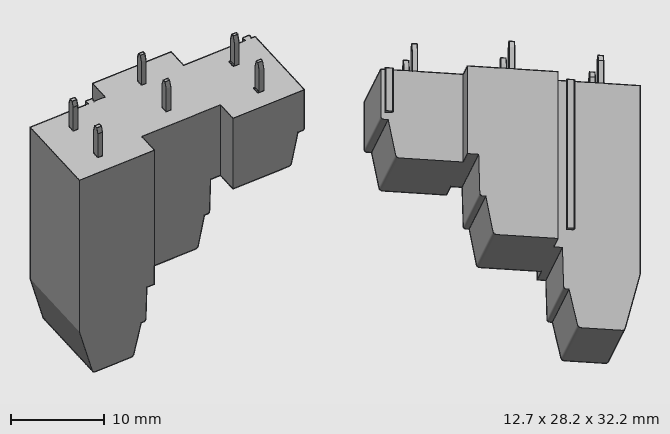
import cadquery as cq

total_height = 32.2
pin_length = 4.05
housing_top = total_height - pin_length
housing_depth = 28.2
block_width = 10.1
side_shift = 2.58
housing_width = block_width + side_shift
middle_front = 9.4
middle_back = 19.25

tier_rise = 9.05
ledge_height = 4.3
nose_top = 6.6
nose_inset = 1.7
floor_starts = (6.75, 16.42, 26.53)
ledge_starts = (7.75, 17.25, 27.4)
ledge_ends = (8.35, 17.9, housing_depth)
wall_draft = 0.13
corner_radius = 0.42
ledge_radius = 0.32

pin_width = 0.87
pin_thickness = 0.58
pins_per_row = 2
pin_pitch = 5.05
row_pitch = 10.1
first_row = 3.9
outer_row_start = 5.1
middle_row_start = outer_row_start - pin_pitch / 2
row_starts = (outer_row_start, middle_row_start, outer_row_start)
tip_heights = (0.68, 0.8, 0.93)
tip_widths = (0.42, 0.35, 0.32)
heel_depth = 0.15
heel_height = 0.1

rail_reach = 0.5
rail_width = 0.93
rail_root_width = 0.7
rail_chamfer = 0.1
rail_places = (7.65, 27.37)
rail_bottoms = (11.15, 23.22)

overlap = 0.15


def make_profile():
    """Stepped side outline, extruded across the whole width."""
    outline = [(0, housing_top), (0, nose_top), (nose_inset, 0)]
    rounded = [(nose_inset, 0)]
    ledge_edges = []
    tiers = zip(floor_starts, ledge_starts, ledge_ends)
    for tier, (floor_start, ledge_start, ledge_end) in enumerate(tiers):
        floor = tier * tier_rise
        ledge = floor + ledge_height
        outline += [(floor_start, floor), (ledge_start, ledge), (ledge_end, ledge)]
        rounded.append((floor_start, floor))
        ledge_edges.append((ledge_end, ledge))
        if ledge_end < housing_depth:
            outline.append((ledge_end + wall_draft, floor + tier_rise))
    outline.append((housing_depth, housing_top))

    profile = cq.Workplane("YZ").polyline(outline).close().extrude(housing_width)
    for points, radius in ((rounded, corner_radius), (ledge_edges, ledge_radius)):
        for y, z in points:
            edge = cq.selectors.NearestToPointSelector((housing_width / 2, y, z))
            profile = profile.edges("|X").edges(edge).fillet(radius)
    return profile


def make_block(x, front, back):
    block = cq.Workplane("XY").box(block_width, back - front, housing_top, centered=False)
    return block.translate((x, front, 0))


def make_housing():
    """Side profile trimmed to a plan with the middle block shifted sideways."""
    plan = make_block(side_shift, 0, middle_front)
    plan = plan.union(make_block(0, middle_front, middle_back))
    plan = plan.union(make_block(side_shift, middle_back, housing_depth))
    return make_profile().intersect(plan)


def make_pin(x, y, tip_height, tip_width):
    """Flat pin with a tapered, blunt tip."""
    half_width = pin_width / 2
    half_tip = tip_width / 2
    root = housing_top - overlap
    shoulder = total_height - tip_height
    outline = [
        (x - half_width, root),
        (x + half_width, root),
        (x + half_width, shoulder),
        (x + half_tip, total_height),
        (x - half_tip, total_height),
        (x - half_width, shoulder),
    ]
    pin = cq.Workplane("XZ").polyline(outline).close().extrude(pin_thickness / 2, both=True)
    return pin.translate((0, y, 0))


def make_heel(x, y):
    """Low foot against the front face of a pin."""
    foot = cq.Workplane("XY").box(
        pin_width, pin_thickness / 2 + heel_depth, overlap + heel_height, centered=(True, False, False)
    )
    return foot.translate((x, y - pin_thickness / 2 - heel_depth, housing_top - overlap))


def make_rail(place, bottom):
    """Vertical rail, widest near its chamfered outer face and narrower at its root."""
    outer = side_shift - rail_reach
    half_width = rail_width / 2
    half_root = rail_root_width / 2
    half_face = half_width - rail_chamfer
    half_outline = [
        (outer, half_face),
        (outer + rail_chamfer, half_width),
        (side_shift, half_root),
        (side_shift + overlap, half_root),
    ]
    outline = [(x, place + y) for x, y in half_outline]
    outline += [(x, place - y) for x, y in reversed(half_outline)]
    rail = cq.Workplane("XY").workplane(offset=bottom).polyline(outline).close()
    return rail.extrude(housing_top - bottom)


result = make_housing()

for row, row_start in enumerate(row_starts):
    row_y = first_row + row * row_pitch
    for column in range(pins_per_row):
        pin_x = row_start + column * pin_pitch
        result = result.union(make_pin(pin_x, row_y, tip_heights[row], tip_widths[row]))
        if row == len(row_starts) - 1:
            result = result.union(make_heel(pin_x, row_y))

for place, bottom in zip(rail_places, rail_bottoms):
    result = result.union(make_rail(place, bottom))